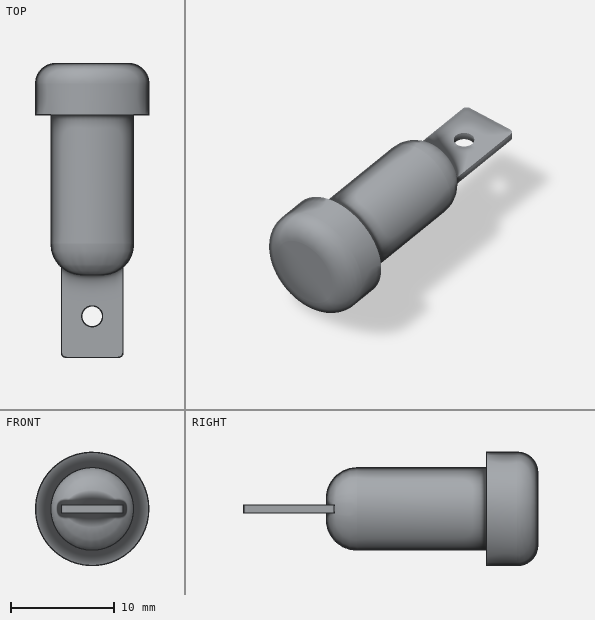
import cadquery as cq

total_length = 28.5

head_diameter = 11.0
head_thickness = 5.0
head_edge_radius = 2.0

body_diameter = 8.0
body_end_radius = 3.0

blade_reach = 8.0
blade_width = 5.98
blade_thickness = 0.8
blade_corner_radius = 0.48
hole_diameter = 2.0
hole_to_tip = 4.0

body_end = total_length - blade_reach
blade_length = blade_reach + body_end_radius


def cylinder_along_y(diameter, start, end):
    """Cylinder on the Y axis, between two distances measured from the crown."""
    return (
        cq.Workplane("XZ")
        .workplane(offset=start)
        .circle(diameter / 2)
        .extrude(end - start)
    )


def make_head():
    head = cylinder_along_y(head_diameter, 0, head_thickness)
    return head.faces(">Y").edges().fillet(head_edge_radius)


def make_body():
    body = cylinder_along_y(body_diameter, head_thickness, body_end)
    return body.faces("<Y").edges().fillet(body_end_radius)


def make_blade():
    return (
        cq.Workplane("XY")
        .center(0, blade_length / 2 - total_length)
        .box(blade_width, blade_length, blade_thickness)
        .edges("|Z and <Y")
        .fillet(blade_corner_radius)
        .faces(">Z")
        .workplane(origin=(0, hole_to_tip - total_length, 0))
        .hole(hole_diameter)
    )


result = make_head().union(make_body()).union(make_blade())